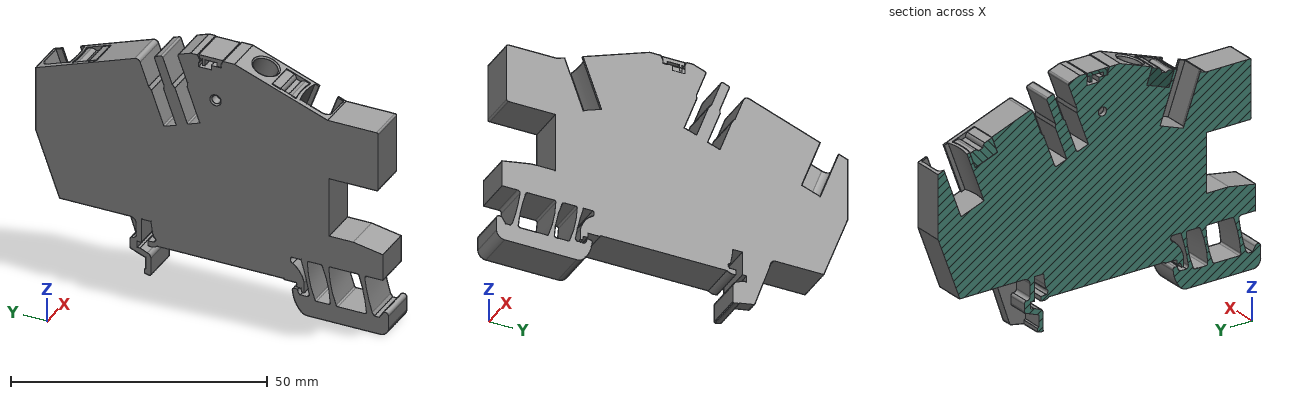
import cadquery as cq
import math

WIDTH = 8.1
LENGTH = 76.6
HEIGHT = 52.9
HALF = WIDTH / 2

SLOPE_ANGLE = 20.0
SIN_SLOPE = math.sin(math.radians(SLOPE_ANGLE))
COS_SLOPE = math.cos(math.radians(SLOPE_ANGLE))
TAN_SLOPE = SIN_SLOPE / COS_SLOPE
BACK_EAVE_Z = 40.65
BACK_WALL_Z = 26.65
BACK_UNDERSIDE_Y = 71.4
UNDERSIDE_Z = 12.4
RIDGE_FRONT_Y = 33.4
RIDGE_BACK_Y = LENGTH - (HEIGHT - BACK_EAVE_Z) / TAN_SLOPE
NOSE_TOP_Z = 45.55
NOSE_BOTTOM_Z = 32.4
NOSE_Y = 2.2
NOSE_RADIUS = 0.4
FRONT_EAVE_Y = RIDGE_FRONT_Y - (HEIGHT - NOSE_TOP_Z) / TAN_SLOPE
NOTCH_Y = 12.9
ARM_TOP_Z = 19.4
ARM_BEND_Y = 7.65
ARM_TIP_Y = 1.2
ARM_TIP_Z = 18.2
BASE_Z = 7.1
WINDOW_RADIUS = 0.4

SLOT_CENTERS = (25.6, 31.0)
SLOT_DEPTH = 15.1
SLOT_MOUTH = 3.5
SLOT_OVERCUT = 0.8
SLOT_WIDTH = 2.8
SLOT_STEP_TOP = 6.3
SLOT_STEP_BOTTOM = 7.1
SLOT_RADIUS = 0.3
MOUTH_RADIUS = 0.4
LOW_MOUTH_RADIUS = 0.9

POCKET_LEFT = -2.9
POCKET_RIGHT = 3.6
POCKET_CENTER = (POCKET_LEFT + POCKET_RIGHT) / 2
POCKET_LENGTH = 6.6
POCKET_BULGE = 0.4
POCKET_RADIUS = 1.6
POCKET_DEPTH = 11.8
FRONT_POCKET_START = 0.4
BACK_POCKET_START = 0.7
WIRE_NOTCH_START = 1.4
WIRE_NOTCH_LENGTH = 4.3
LEVER_START = 7.35
LEVER_LENGTH = 5.5
LEVER_WIDTH = 6.3
LEVER_DEPTH = 3.8
LEVER_ARCH = 0.3
LEVER_HEAD_DROP = 0.15
LEVER_LIP_DROP = 0.2
LEVER_GROOVE_DROP = 0.9
LEVER_LIP_END = 1.1
LEVER_GROOVE_START = 1.9
LEVER_GROOVE_END = 2.9
LEVER_HEAD_START = 3.7
LEVER_SHOULDER_RISE = 0.15

SCREW_X = 0.45
SCREW_FROM_RIDGE = 4.9
SCREW_RADIUS = 2.6
SCREW_CHAMFER = 0.3
SCREW_DEPTH = 5.35

TEST_Y = 37.5
TEST_Z = 43.65
TEST_RADIUS = 0.9
TEST_CHAMFER = 0.3
TEST_DEPTH = 2.3

SEAT_FRONT_Y = 35.8
SEAT_BACK_Y = 41.5
SEAT_TAPER = 0.45
SEAT_FLOOR_Z = 51.3
MARKER_GAP = 0.2
MARKER_WIDTH = 7.65
MARKER_BOTTOM_Z = 52.1
MARKER_TAPER = 0.2
FRONT_LEG_Y = 36.45
FRONT_LEG_THICKNESS = 0.9
HOOK_LEG_Y = 40.0
HOOK_LEG_THICKNESS = 0.5
HOOK_LEG_Z = 50.7
HOOK_POCKET_FRONT_Y = 38.4
HOOK_POCKET_BACK_Y = 41.2
HOOK_POCKET_Z = 50.3

WEDGE_THICKNESS = 2.3


def side_sketch(x=-HALF):
    """Workplane seen along X, with coordinates (Y, Z), at the given X."""
    return cq.Workplane("YZ").workplane(offset=x)


class Slope:
    """One roof slope: low end (y, z) and the Y direction (+1 or -1) in which it rises."""

    def __init__(self, y, z, rise, pocket_start):
        self.y = y
        self.z = z
        self.rise = rise
        self.pocket_start = pocket_start

    def at(self, u, w):
        """(Y, Z) of the point u up the slope and w above it."""
        return (
            self.y + self.rise * (u * COS_SLOPE - w * SIN_SLOPE),
            self.z + u * SIN_SLOPE + w * COS_SLOPE,
        )

    def plane(self):
        """Workplane on the slope, with local coordinates (X, rise * u)."""
        normal = (0, -self.rise * SIN_SLOPE, COS_SLOPE)
        return cq.Workplane(cq.Plane((0, self.y, self.z), (1, 0, 0), normal))


FRONT_SLOPE = Slope(FRONT_EAVE_Y, NOSE_TOP_Z, 1, FRONT_POCKET_START)
BACK_SLOPE = Slope(LENGTH, BACK_EAVE_Z, -1, BACK_POCKET_START)
SLOPES = (FRONT_SLOPE, BACK_SLOPE)


def main_block():
    nose = (
        side_sketch()
        .moveTo(NOSE_Y, NOSE_BOTTOM_Z)
        .lineTo(RIDGE_FRONT_Y, NOSE_BOTTOM_Z)
        .lineTo(RIDGE_FRONT_Y, NOSE_TOP_Z)
        .lineTo(NOSE_Y, NOSE_TOP_Z)
        .close()
        .extrude(WIDTH)
        .edges("|X and <Y")
        .fillet(NOSE_RADIUS)
    )
    trunk = (
        side_sketch()
        .moveTo(LENGTH, BACK_EAVE_Z)
        .lineTo(RIDGE_BACK_Y, HEIGHT)
        .lineTo(RIDGE_FRONT_Y, HEIGHT)
        .lineTo(FRONT_EAVE_Y, NOSE_TOP_Z)
        .lineTo(NOTCH_Y, NOSE_TOP_Z)
        .lineTo(NOTCH_Y, ARM_TOP_Z)
        .lineTo(ARM_BEND_Y, ARM_TOP_Z)
        .lineTo(ARM_TIP_Y, ARM_TIP_Z)
        .lineTo(ARM_TIP_Y, UNDERSIDE_Z)
        .lineTo(BACK_UNDERSIDE_Y, UNDERSIDE_Z)
        .lineTo(LENGTH, BACK_WALL_Z)
        .close()
        .extrude(WIDTH)
    )
    return trunk.union(nose)


def rail_seat():
    """Block that rests on the rail, with a hook at each end."""
    return (
        side_sketch()
        .moveTo(51.5, UNDERSIDE_Z)
        .lineTo(51.2, 10.1)
        .lineTo(51.0, 9.0)
        .threePointArc((50.5, 8.35), (50.9, 7.9))
        .lineTo(52.2, 7.8)
        .lineTo(52.2, 6.8)
        .threePointArc((51.3, 6.65), (50.2, BASE_Z))
        .lineTo(22.75, BASE_Z)
        .lineTo(22.6, 6.9)
        .lineTo(20.0, 6.9)
        .lineTo(19.9, 6.0)
        .lineTo(19.0, 5.8)
        .lineTo(18.75, 5.0)
        .lineTo(18.3, 5.0)
        .lineTo(18.3, 7.35)
        .threePointArc((19.15, 9.4), (20.75, 11.1))
        .threePointArc((21.3, 11.95), (21.0, UNDERSIDE_Z))
        .close()
        .extrude(WIDTH)
    )


def spring_foot():
    """Foot that grips the rail, hung from the arm by three curved spring legs."""
    foot = (
        side_sketch()
        .moveTo(19.0, UNDERSIDE_Z)
        .threePointArc((18.1, 9.2), (17.2, 5.05))
        .threePointArc((17.3, 4.6), (17.6, 4.4))
        .lineTo(19.15, 4.4)
        .threePointArc((19.5, 4.75), (19.7, 5.5))
        .lineTo(20.4, 5.5)
        .threePointArc((20.75, 5.35), (20.8, 4.8))
        .threePointArc((20.2, 2.45), (19.0, 0.6))
        .threePointArc((18.3, 0.15), (17.45, 0))
        .lineTo(1.75, 0)
        .threePointArc((0.5, 0.5), (0, 1.75))
        .lineTo(0, 4.5)
        .threePointArc((0.8, 5.3), (1.4, 4.8))
        .lineTo(2.0, 3.8)
        .lineTo(3.1, 3.8)
        .lineTo(3.5, 4.5)
        .threePointArc((4.5, 8.3), (5.1, 11.8))
        .threePointArc((5.0, 12.25), (4.5, UNDERSIDE_Z))
        .close()
        .extrude(WIDTH)
    )
    back_window = (
        side_sketch()
        .moveTo(17.6, UNDERSIDE_Z)
        .lineTo(14.5, UNDERSIDE_Z)
        .threePointArc((13.3, 8.95), (12.6, 3.8))
        .lineTo(15.85, 3.8)
        .threePointArc((17.1, 7.8), (17.6, UNDERSIDE_Z))
        .close()
        .extrude(WIDTH)
        .edges("|X")
        .fillet(WINDOW_RADIUS)
    )
    front_window = (
        side_sketch()
        .moveTo(12.95, UNDERSIDE_Z)
        .lineTo(6.5, UNDERSIDE_Z)
        .threePointArc((5.35, 8.3), (4.75, 3.8))
        .lineTo(11.25, 3.8)
        .threePointArc((12.4, 7.65), (12.95, UNDERSIDE_Z))
        .close()
        .extrude(WIDTH)
        .edges("|X")
        .fillet(WINDOW_RADIUS)
    )
    return foot.cut(back_window).cut(front_window)


def rail_latch():
    """Cranked full-width strip, stiffened by a wedge on the +X side."""
    strip = (
        side_sketch()
        .moveTo(53.6, UNDERSIDE_Z)
        .lineTo(53.6, 7.1)
        .lineTo(54.5, 7.1)
        .lineTo(54.5, 5.75)
        .lineTo(53.9, 5.75)
        .lineTo(52.3, 5.05)
        .threePointArc((51.75, 4.7), (51.5, 4.05))
        .lineTo(51.5, 0.3)
        .lineTo(51.7, 0.1)
        .lineTo(52.0, 0.1)
        .lineTo(53.0, 0.3)
        .lineTo(53.0, 1.15)
        .lineTo(52.7, 1.4)
        .lineTo(52.7, 3.9)
        .lineTo(55.5, 5.0)
        .threePointArc((56.0, 5.2), (56.1, 5.7))
        .lineTo(56.1, 7.2)
        .threePointArc((56.0, 7.6), (55.7, 7.8))
        .threePointArc((55.0, 8.0), (54.75, 8.4))
        .lineTo(54.75, 11.25)
        .threePointArc((55.1, 12.0), (55.9, UNDERSIDE_Z))
        .close()
        .extrude(WIDTH)
    )
    wedge = (
        side_sketch(HALF - WEDGE_THICKNESS)
        .moveTo(60.5, UNDERSIDE_Z)
        .lineTo(59.95, 11.95)
        .lineTo(56.4, 1.4)
        .threePointArc((56.3, 1.1), (55.9, 0.9))
        .lineTo(52.2, 0.2)
        .lineTo(52.2, 4.45)
        .lineTo(55.3, 5.7)
        .lineTo(54.2, 9.2)
        .lineTo(54.2, UNDERSIDE_Z)
        .close()
        .extrude(WEDGE_THICKNESS)
    )
    return strip.union(wedge)


def slope_slot(center):
    """Stepped slot square to the back slope, through the whole width."""
    mouth = SLOT_MOUTH / 2
    half = SLOT_WIDTH / 2
    profile = [
        (-mouth, SLOT_OVERCUT),
        (-mouth, -SLOT_STEP_TOP),
        (-half, -SLOT_STEP_BOTTOM),
        (-half, -SLOT_DEPTH),
        (half, -SLOT_DEPTH),
        (half, -SLOT_STEP_BOTTOM),
        (mouth, -SLOT_STEP_TOP),
        (mouth, SLOT_OVERCUT),
    ]
    points = [BACK_SLOPE.at(center + u, w) for u, w in profile]
    return (
        side_sketch()
        .polyline(points)
        .close()
        .extrude(WIDTH)
        .edges("|X and <Z")
        .fillet(SLOT_RADIUS)
    )


def slotted_block():
    """Main block with the slots cut and their lips rounded."""
    block = main_block()
    lips = []
    for center in SLOT_CENTERS:
        block = block.cut(slope_slot(center))
        lips += [center - SLOT_MOUTH / 2, center + SLOT_MOUTH / 2]
    for lip in lips:
        radius = LOW_MOUTH_RADIUS if lip == min(lips) else MOUTH_RADIUS
        lip_edge = cq.selectors.NearestToPointSelector((0, *BACK_SLOPE.at(lip, 0)))
        block = block.edges(lip_edge).fillet(radius)
    return block


def wire_pocket(slope):
    """Pocket with an arched upper end, and the notch that opens it to the +X side."""
    low = slope.pocket_start
    high = low + POCKET_LENGTH
    rise = slope.rise
    corner = POCKET_RADIUS * (1 - math.sqrt(0.5))
    pocket = (
        slope.plane()
        .moveTo(POCKET_RIGHT, rise * low)
        .lineTo(POCKET_RIGHT, rise * high)
        .threePointArc((POCKET_CENTER, rise * (high + POCKET_BULGE)), (POCKET_LEFT, rise * high))
        .lineTo(POCKET_LEFT, rise * (low + POCKET_RADIUS))
        .threePointArc(
            (POCKET_LEFT + corner, rise * (low + corner)),
            (POCKET_LEFT + POCKET_RADIUS, rise * low),
        )
        .close()
        .extrude(-POCKET_DEPTH)
    )
    notch_middle = rise * (low + WIRE_NOTCH_START + WIRE_NOTCH_LENGTH / 2)
    notch = (
        slope.plane()
        .center((POCKET_CENTER + HALF) / 2, notch_middle)
        .rect(HALF - POCKET_CENTER, WIRE_NOTCH_LENGTH)
        .extrude(-POCKET_DEPTH)
    )
    return pocket.union(notch)


def lever_end(slope):
    """Shallow arched column that hollows the lever end beside the wire pocket."""
    start = slope.pocket_start + LEVER_START
    half = LEVER_WIDTH / 2
    rise = slope.rise
    return (
        slope.plane()
        .moveTo(-half, rise * start)
        .threePointArc((0, rise * (start + LEVER_ARCH)), (half, rise * start))
        .close()
        .extrude(-LEVER_DEPTH)
    )


def lever_recess(slope):
    """Recess that the lever fills, with the matching arched end."""
    start = slope.pocket_start + LEVER_START
    end = start + LEVER_LENGTH
    corners = [(start, 0), (end, 0), (end, -LEVER_DEPTH), (start, -LEVER_DEPTH)]
    recess = (
        side_sketch(-LEVER_WIDTH / 2)
        .polyline([slope.at(u, w) for u, w in corners])
        .close()
        .extrude(LEVER_WIDTH)
    )
    return recess.cut(lever_end(slope))


def release_lever(slope):
    """Lever with a round-shouldered groove across its top for a screwdriver tip."""

    def point(u, drop):
        return slope.at(slope.pocket_start + LEVER_START + u, -drop)

    lip_middle = (LEVER_LIP_END + LEVER_GROOVE_START) / 2
    lip_middle_drop = (LEVER_LIP_DROP + LEVER_GROOVE_DROP) / 2 - LEVER_SHOULDER_RISE
    head_middle = (LEVER_GROOVE_END + LEVER_HEAD_START) / 2
    head_middle_drop = (LEVER_HEAD_DROP + LEVER_GROOVE_DROP) / 2 - LEVER_SHOULDER_RISE
    lever = (
        side_sketch(-LEVER_WIDTH / 2)
        .moveTo(*point(0, LEVER_DEPTH))
        .lineTo(*point(0, LEVER_LIP_DROP))
        .lineTo(*point(LEVER_LIP_END, LEVER_LIP_DROP))
        .threePointArc(point(lip_middle, lip_middle_drop), point(LEVER_GROOVE_START, LEVER_GROOVE_DROP))
        .lineTo(*point(LEVER_GROOVE_END, LEVER_GROOVE_DROP))
        .threePointArc(point(head_middle, head_middle_drop), point(LEVER_HEAD_START, LEVER_HEAD_DROP))
        .lineTo(*point(LEVER_LENGTH, LEVER_HEAD_DROP))
        .lineTo(*point(LEVER_LENGTH, LEVER_DEPTH))
        .close()
        .extrude(LEVER_WIDTH)
    )
    return lever.cut(lever_end(slope))


def screw_hole():
    slope_length = (RIDGE_FRONT_Y - FRONT_EAVE_Y) / COS_SLOPE
    mouth = FRONT_SLOPE.plane().center(SCREW_X, slope_length - SCREW_FROM_RIDGE)
    bore = mouth.circle(SCREW_RADIUS).extrude(-SCREW_DEPTH)
    countersink = mouth.circle(SCREW_RADIUS + SCREW_CHAMFER).extrude(-SCREW_CHAMFER, taper=45)
    return bore.union(countersink)


def test_hole():
    mouth = side_sketch().center(TEST_Y, TEST_Z)
    bore = mouth.circle(TEST_RADIUS).extrude(TEST_DEPTH)
    countersink = mouth.circle(TEST_RADIUS + TEST_CHAMFER).extrude(TEST_CHAMFER, taper=45)
    return bore.union(countersink)


def marker_seat():
    """Tapered channel through the flat top, with a blind pocket for the marker hook."""
    channel = (
        side_sketch()
        .moveTo(SEAT_FRONT_Y, HEIGHT)
        .lineTo(SEAT_FRONT_Y + SEAT_TAPER, MARKER_BOTTOM_Z)
        .lineTo(SEAT_FRONT_Y + SEAT_TAPER, SEAT_FLOOR_Z)
        .lineTo(SEAT_BACK_Y - SEAT_TAPER, SEAT_FLOOR_Z)
        .lineTo(SEAT_BACK_Y - SEAT_TAPER, MARKER_BOTTOM_Z)
        .lineTo(SEAT_BACK_Y, HEIGHT)
        .close()
        .extrude(WIDTH)
    )
    hook_pocket = (
        side_sketch()
        .moveTo(HOOK_POCKET_FRONT_Y, HOOK_POCKET_Z)
        .lineTo(HOOK_POCKET_BACK_Y, HOOK_POCKET_Z)
        .lineTo(HOOK_POCKET_BACK_Y, SEAT_FLOOR_Z)
        .lineTo(HOOK_POCKET_FRONT_Y, SEAT_FLOOR_Z)
        .close()
        .extrude((WIDTH + MARKER_WIDTH) / 2)
    )
    return channel.union(hook_pocket)


def marker():
    """Label plate standing on two legs, the rear one reaching into the hook pocket."""
    front = SEAT_FRONT_Y + MARKER_GAP
    back = SEAT_BACK_Y - MARKER_GAP
    profile = [
        (front, HEIGHT),
        (front + MARKER_TAPER, MARKER_BOTTOM_Z),
        (FRONT_LEG_Y, MARKER_BOTTOM_Z),
        (FRONT_LEG_Y, SEAT_FLOOR_Z),
        (FRONT_LEG_Y + FRONT_LEG_THICKNESS, SEAT_FLOOR_Z),
        (FRONT_LEG_Y + FRONT_LEG_THICKNESS, MARKER_BOTTOM_Z),
        (HOOK_LEG_Y, MARKER_BOTTOM_Z),
        (HOOK_LEG_Y, HOOK_LEG_Z),
        (HOOK_LEG_Y + HOOK_LEG_THICKNESS, HOOK_LEG_Z),
        (HOOK_LEG_Y + HOOK_LEG_THICKNESS, MARKER_BOTTOM_Z),
        (back - MARKER_TAPER, MARKER_BOTTOM_Z),
        (back, HEIGHT),
    ]
    return side_sketch(-MARKER_WIDTH / 2).polyline(profile).close().extrude(MARKER_WIDTH)


def housing():
    body = slotted_block().union(rail_seat()).union(spring_foot()).union(rail_latch())
    for slope in SLOPES:
        body = body.cut(wire_pocket(slope)).cut(lever_recess(slope))
    return body.cut(screw_hole()).cut(test_hole()).cut(marker_seat())


levers = [release_lever(slope).val() for slope in SLOPES]
result = cq.Compound.makeCompound([housing().val(), marker().val(), *levers])